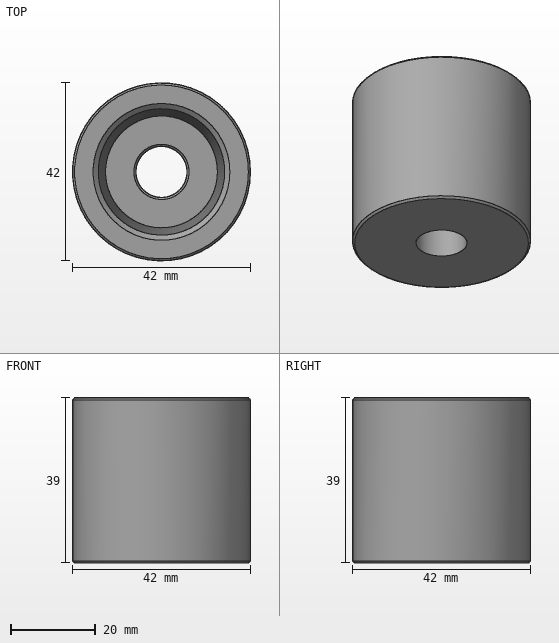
import cadquery as cq

outer_radius = 21.0
height = 39.0
edge_chamfer = 0.5

mouth_radius = 16.13
bore_top_radius = 14.9
mouth_chamfer = mouth_radius - bore_top_radius
floor_radius = 13.2
floor_thickness = 10.0

hole_radius = 6.0
hole_chamfer = 0.5

section = [
    (hole_radius, 0),
    (outer_radius - edge_chamfer, 0),
    (outer_radius, edge_chamfer),
    (outer_radius, height - edge_chamfer),
    (outer_radius - edge_chamfer, height),
    (mouth_radius, height),
    (bore_top_radius, height - mouth_chamfer),
    (floor_radius, floor_thickness),
    (hole_radius + hole_chamfer, floor_thickness),
    (hole_radius, floor_thickness - hole_chamfer),
]
result = cq.Workplane("XZ").polyline(section).close().revolve(360, (0, 0), (0, 1))